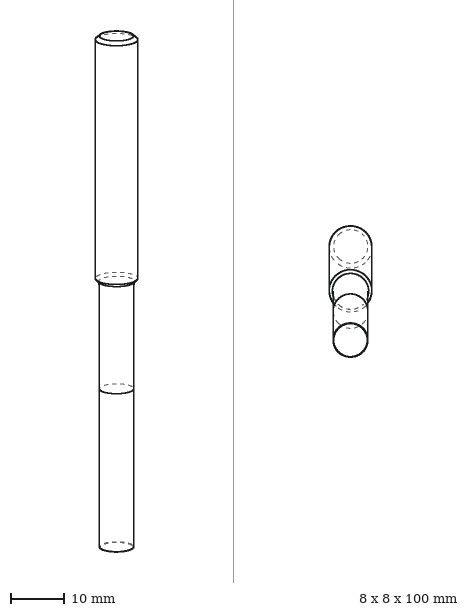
import cadquery as cq

total_length = 100.0
shank_diameter = 8.0
neck_diameter = 6.5
tip_length = 31.0

top_chamfer_height = 0.7
top_chamfer_width = 0.8

shoulder_top = 52.6
shoulder_chamfer = 0.6
neck_arc_height = 1.0

tip_chamfer = 0.1

shank_radius = shank_diameter / 2
neck_radius = neck_diameter / 2
neck_arc_top = shoulder_top - shoulder_chamfer
neck_arc_bottom = neck_arc_top - neck_arc_height


def make_shank():
    """Thick shank, chamfered at the top, blending down into the upper neck."""
    return (
        cq.Workplane("XZ")
        .moveTo(0, tip_length)
        .lineTo(neck_radius, tip_length)
        .lineTo(neck_radius, neck_arc_bottom)
        .tangentArcPoint((shank_radius - shoulder_chamfer, neck_arc_top), relative=False)
        .lineTo(shank_radius, shoulder_top)
        .lineTo(shank_radius, total_length - top_chamfer_height)
        .lineTo(shank_radius - top_chamfer_width, total_length)
        .lineTo(0, total_length)
        .close()
        .revolve(360, (0, 0), (0, 1))
    )


def make_tip():
    """Round tip continuing the neck, with its lower edge lightly broken."""
    return (
        cq.Workplane("XY")
        .circle(neck_radius)
        .extrude(tip_length)
        .faces("<Z")
        .chamfer(tip_chamfer)
    )


shank = make_shank()
tip = make_tip()

result = cq.Compound.makeCompound([shank.val(), tip.val()])